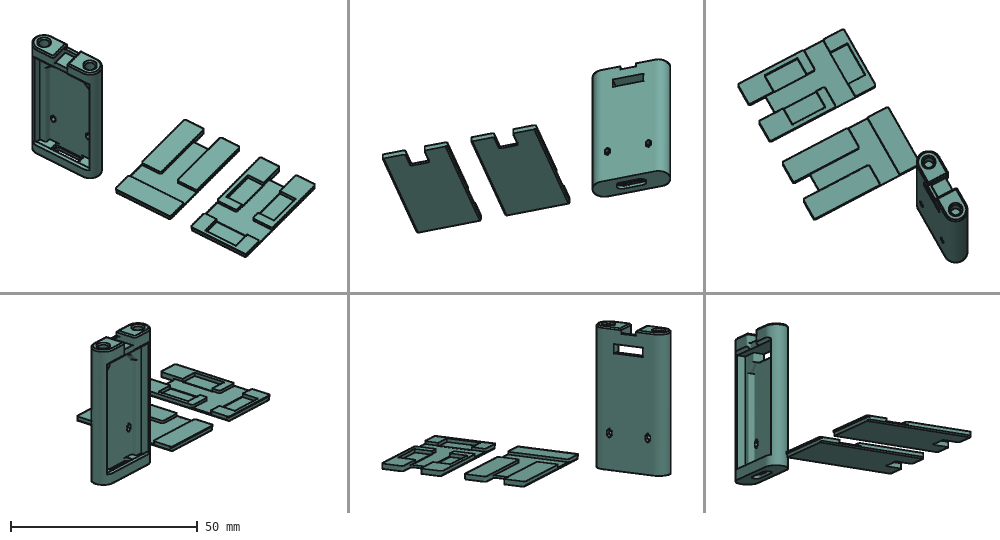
import cadquery as cq
HOUSING_WIDTH = 21.55
HOUSING_DEPTH = 6.45
HOUSING_HEIGHT = 39.6
MID_X = HOUSING_WIDTH / 2
MID_Y = HOUSING_DEPTH / 2
TOP_CHAMFER = 0.4

SELECT_MARGIN = 0.1

POCKET_WIDTH = 17.95
POCKET_FLOOR = 2.0
POCKET_TOP = 35.1
LEDGE_Y = 3.3
MOUTH_CHAMFER = 0.85
LIP_TOP = 3.0
LIP_THICKNESS = 1.2

RECESS_Y = 4.9
RECESS_WIDTH = 13.85
RECESS_SHOULDER = 30.0
RECESS_FILLET = 0.5
WINDOW_WIDTH = 8.6
WINDOW_BOTTOM = 32.5

EYELET_SPACING = 11.5
EYELET_Z = 10.3
EYELET_WIDTH = 1.5
EYELET_HEIGHT = 2.5

CONNECTOR_WIDTH = 8.9
CONNECTOR_DEPTH = 2 * (RECESS_Y - MID_Y)
CONNECTOR_CORNER = 0.7
CONNECTOR_STEP = 0.35
CONNECTOR_STEP_Z = 1.1

NOTCH_WIDTH = 4.4
NOTCH_EDGE_FILLET = 0.5
NOTCH_CORNER_FILLET = 0.3
BRIDGE_WALL = 0.9
BRIDGE_TOP = 36.9
REAR_WALL_TOP = 38.2

POST_HOLE_DIAMETER = 2.9
POST_HOLE_DEPTH = 4.0
POST_HOLE_CHAMFER = 0.4

PLATE_WIDTH = 18.2
PLATE_LENGTH = 32.4
PLATE_BASE = 0.7
PLATE_HEIGHT = 1.5
PLATE_CORNER = 0.5
PLATE_BEVEL = 0.4
PLAIN_PLATE_X = 37.9
POCKETED_PLATE_X = 71.8 - PLATE_WIDTH / 2
SLOT_WIDTH = 5.3
SLOT_DEPTH = 5.0
ARM_START = 12.2
FRONT_PAD_END = 6.3
HOOK_REACH = 0.2
HOOK_UNDERSIDE = 1.1

MAGNET_LENGTH = 10.05
MAGNET_WIDTH = 5.2
MAGNET_FLOOR = 0.5
ARM_MAGNET_START = 14.8
FRONT_MAGNET_START = 1.1


def box(x0, x1, y0, y1, z0, z1):
    """Box between two opposite corners."""
    return cq.Workplane("XY").box(x1 - x0, y1 - y0, z1 - z0, centered=False).translate((x0, y0, z0))


def centred_box(mid_x, width, y0, y1, z0, z1):
    """Box spread evenly about a middle x."""
    return box(mid_x - width / 2, mid_x + width / 2, y0, y1, z0, z1)


def front_prism(points, y0, y1):
    """Prism with an outline of (x, z) points, running from y0 to y1."""
    return cq.Workplane("XZ").polyline(points).close().extrude(-(y1 - y0)).translate((0, y0, 0))


def stadium(height):
    """Upright block with fully round ends, as large as the housing in plan."""
    return cq.Workplane("XY").center(MID_X, MID_Y).slot2D(HOUSING_WIDTH, HOUSING_DEPTH).extrude(height)


def left_post():
    """Post left of the notch, rounded on its front inner edge and chamfered around its top."""
    post_region = box(0, MID_X - NOTCH_WIDTH / 2, 0, HOUSING_DEPTH, POCKET_TOP, HOUSING_HEIGHT)
    post = stadium(HOUSING_HEIGHT).intersect(post_region)
    post = post.edges("|Z and >X and <Y").fillet(NOTCH_EDGE_FILLET)
    return post.faces(">Z").edges().chamfer(TOP_CHAMFER)


def bridge():
    """Bridge between the posts, with the taller wall along its rear."""
    rear_wall_y = HOUSING_DEPTH - BRIDGE_WALL
    span = centred_box(MID_X, NOTCH_WIDTH, BRIDGE_WALL, HOUSING_DEPTH, POCKET_TOP, BRIDGE_TOP)
    rear_wall = centred_box(MID_X, NOTCH_WIDTH, rear_wall_y, HOUSING_DEPTH, POCKET_TOP, REAR_WALL_TOP)
    return span.union(rear_wall)


def round_bridge_corners(block):
    """Round the upright inside corners where the bridge and its rear wall meet the posts."""
    reach = NOTCH_WIDTH / 2 + SELECT_MARGIN
    corners = cq.selectors.BoxSelector(
        (MID_X - reach, BRIDGE_WALL - SELECT_MARGIN, POCKET_TOP),
        (MID_X + reach, HOUSING_DEPTH - BRIDGE_WALL + SELECT_MARGIN, HOUSING_HEIGHT),
    )
    return block.edges("|Z").edges(corners).fillet(NOTCH_CORNER_FILLET)


def housing_block():
    """Solid housing with its two posts and the bridge, before the pocket is cut."""
    left = left_post()
    right = left.mirror("YZ", (MID_X, 0, 0))
    return round_bridge_corners(stadium(POCKET_TOP).union(left).union(right).union(bridge()))


def pocket():
    """Front pocket with its bevelled mouth, leaving the lip along the bottom."""
    half_width = POCKET_WIDTH / 2
    cavity = centred_box(MID_X, POCKET_WIDTH, 0, LEDGE_Y, POCKET_FLOOR, POCKET_TOP)
    lip = centred_box(MID_X, POCKET_WIDTH, 0, LIP_THICKNESS, POCKET_FLOOR, LIP_TOP)
    side_bevels = (
        cq.Workplane("XY", origin=(MID_X, 0, LIP_TOP))
        .moveTo(-half_width - MOUTH_CHAMFER, 0)
        .lineTo(half_width + MOUTH_CHAMFER, 0)
        .lineTo(half_width, MOUTH_CHAMFER)
        .lineTo(-half_width, MOUTH_CHAMFER)
        .close()
        .extrude(HOUSING_HEIGHT)
    )
    top_bevel = (
        cq.Workplane("YZ")
        .moveTo(0, LIP_TOP)
        .lineTo(MOUTH_CHAMFER, LIP_TOP)
        .lineTo(MOUTH_CHAMFER, POCKET_TOP)
        .lineTo(0, POCKET_TOP + MOUTH_CHAMFER)
        .close()
        .extrude(HOUSING_WIDTH)
    )
    return cavity.cut(lip).union(side_bevels.intersect(top_bevel))


def deep_recess():
    """Recess between the two ledges, narrowing at 45 degrees up to the window."""
    shoulder = RECESS_WIDTH / 2
    neck = WINDOW_WIDTH / 2
    outline = [
        (MID_X - shoulder, POCKET_FLOOR),
        (MID_X - shoulder, RECESS_SHOULDER),
        (MID_X - neck, WINDOW_BOTTOM),
        (MID_X + neck, WINDOW_BOTTOM),
        (MID_X + shoulder, RECESS_SHOULDER),
        (MID_X + shoulder, POCKET_FLOOR),
    ]
    recess = front_prism(outline, LEDGE_Y, RECESS_Y)
    return recess.faces(">Y").edges("not |X").fillet(RECESS_FILLET)


def window():
    """Opening through the back wall under the bridge."""
    return centred_box(MID_X, WINDOW_WIDTH, LEDGE_Y, HOUSING_DEPTH, WINDOW_BOTTOM, POCKET_TOP)


def round_ledges(housing):
    """Round the ledge edges that border the recess and the window."""
    reach = RECESS_WIDTH / 2 + SELECT_MARGIN
    ledge_edges = cq.selectors.BoxSelector(
        (MID_X - reach, LEDGE_Y - SELECT_MARGIN, POCKET_FLOOR),
        (MID_X + reach, LEDGE_Y + SELECT_MARGIN, POCKET_TOP),
    )
    return housing.edges(ledge_edges).edges("not |X").fillet(RECESS_FILLET)


def eyelet(mid_x):
    """Upright hole through the back wall with 45-degree points at both ends."""
    half_width = EYELET_WIDTH / 2
    tip = EYELET_HEIGHT / 2
    straight = tip - half_width
    outline = [
        (mid_x, EYELET_Z + tip),
        (mid_x + half_width, EYELET_Z + straight),
        (mid_x + half_width, EYELET_Z - straight),
        (mid_x, EYELET_Z - tip),
        (mid_x - half_width, EYELET_Z - straight),
        (mid_x - half_width, EYELET_Z + straight),
    ]
    return front_prism(outline, LEDGE_Y, HOUSING_DEPTH)


def connector_opening():
    """Stepped opening in the bottom wall: a rounded rectangle above a full-round slot."""
    lower = (
        cq.Workplane("XY")
        .center(MID_X, MID_Y)
        .slot2D(CONNECTOR_WIDTH - 2 * CONNECTOR_STEP, CONNECTOR_DEPTH - 2 * CONNECTOR_STEP)
        .extrude(POCKET_FLOOR)
    )
    upper = (
        cq.Workplane("XY", origin=(MID_X, MID_Y, CONNECTOR_STEP_Z))
        .rect(CONNECTOR_WIDTH, CONNECTOR_DEPTH)
        .extrude(POCKET_FLOOR - CONNECTOR_STEP_Z)
        .edges("|Z")
        .fillet(CONNECTOR_CORNER)
    )
    return lower.union(upper)


def post_hole(mid_x):
    """Blind hole with a chamfered rim in the top of a post."""
    radius = POST_HOLE_DIAMETER / 2
    hole_floor = HOUSING_HEIGHT - POST_HOLE_DEPTH
    bore = cq.Workplane("XY", origin=(mid_x, MID_Y, hole_floor)).circle(radius).extrude(POST_HOLE_DEPTH)
    rim = cq.Solid.makeCone(
        radius,
        radius + POST_HOLE_CHAMFER,
        POST_HOLE_CHAMFER,
        cq.Vector(mid_x, MID_Y, HOUSING_HEIGHT - POST_HOLE_CHAMFER),
    )
    return bore.union(cq.Workplane(rim))


def make_housing():
    """Upright housing with the pocket open to the front."""
    housing = housing_block()
    housing = housing.cut(pocket()).cut(deep_recess()).cut(window())
    housing = round_ledges(housing)
    housing = housing.cut(connector_opening())
    for side in (-1, 1):
        housing = housing.cut(eyelet(MID_X + side * EYELET_SPACING / 2))
        housing = housing.cut(post_hole(MID_X + side * (MID_X - MID_Y)))
    return housing


def pad(mid_x, width, y0, y1):
    """Raised pad with rounded upright corners, reaching down to the underside of the plate."""
    return centred_box(mid_x, width, y0, y1, 0, PLATE_HEIGHT).edges("|Z").fillet(PLATE_CORNER)


def plate_base():
    """Thin plate with rounded corners and a slot in its rear end."""
    base = centred_box(0, PLATE_WIDTH, HOOK_REACH, PLATE_LENGTH, 0, PLATE_BASE)
    slot = centred_box(0, SLOT_WIDTH, PLATE_LENGTH - SLOT_DEPTH, PLATE_LENGTH, 0, PLATE_BASE)
    return base.cut(slot).edges("|Z").fillet(PLATE_CORNER)


def hook():
    """Ridge along the upper front edge, with a 45-degree underside."""
    profile = (
        cq.Workplane("YZ", origin=(-PLATE_WIDTH / 2, 0, 0))
        .moveTo(0, PLATE_HEIGHT)
        .lineTo(0, HOOK_UNDERSIDE + HOOK_REACH)
        .lineTo(HOOK_REACH, HOOK_UNDERSIDE)
        .lineTo(FRONT_PAD_END / 2, HOOK_UNDERSIDE)
        .lineTo(FRONT_PAD_END / 2, PLATE_HEIGHT)
        .close()
    )
    return profile.extrude(PLATE_WIDTH).edges("|Z and <Y").fillet(PLATE_CORNER)


def side_bevel():
    """Wedge removed along the lower left edge of a plate."""
    corner = [(0, 0), (PLATE_BEVEL, 0), (0, PLATE_BEVEL)]
    return front_prism(corner, 0, PLATE_LENGTH).translate((-PLATE_WIDTH / 2, 0, 0))


def make_plain_plate():
    """Cover plate lying flat, its middle at x = 0, with two arm pads and a front pad."""
    arm_width = (PLATE_WIDTH - SLOT_WIDTH) / 2
    arm_x = (PLATE_WIDTH - arm_width) / 2
    plate = plate_base().union(pad(0, PLATE_WIDTH, HOOK_REACH, FRONT_PAD_END)).union(hook())
    for side in (-1, 1):
        plate = plate.union(pad(side * arm_x, arm_width, ARM_START, PLATE_LENGTH))
    bevel = side_bevel()
    return plate.cut(bevel).cut(bevel.mirror("YZ"))


def make_pocketed_plate():
    """Cover plate with a rectangular magnet pocket in each pad, open toward the plate's middle."""
    front_pocket = centred_box(
        0, MAGNET_LENGTH, FRONT_MAGNET_START, FRONT_PAD_END, MAGNET_FLOOR, PLATE_HEIGHT
    )
    plate = make_plain_plate().cut(front_pocket)
    for side in (-1, 1):
        arm_pocket = centred_box(
            side * (SLOT_WIDTH + MAGNET_WIDTH) / 2,
            MAGNET_WIDTH,
            ARM_MAGNET_START,
            ARM_MAGNET_START + MAGNET_LENGTH,
            MAGNET_FLOOR,
            PLATE_HEIGHT,
        )
        plate = plate.cut(arm_pocket)
    return plate


housing = make_housing()
plain_plate = make_plain_plate().translate((PLAIN_PLATE_X, 0, 0))
pocketed_plate = make_pocketed_plate().translate((POCKETED_PLATE_X, 0, 0))

result = cq.Compound.makeCompound([housing.val(), plain_plate.val(), pocketed_plate.val()])